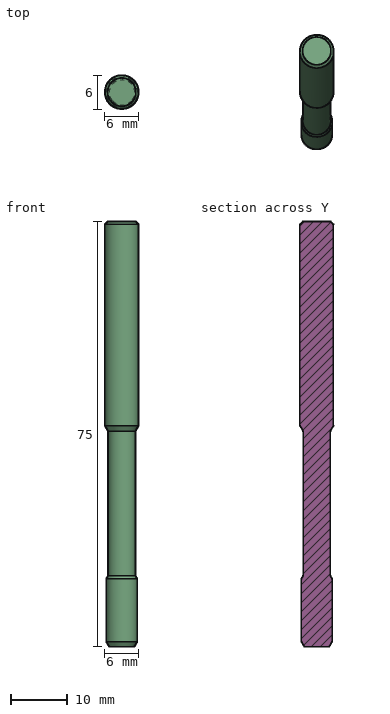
import cadquery as cq
import math

total_length = 75.0
shank_diameter = 6.0
neck_diameter = 4.9
head_diameter = 5.5
tip_diameter = 4.45

head_end = 12.0
shank_start = 39.0

shank_top_chamfer = 0.5
cone_angle = 30.0

shank_radius = shank_diameter / 2
neck_radius = neck_diameter / 2
head_radius = head_diameter / 2
tip_radius = tip_diameter / 2


def cone_length(large_radius, small_radius):
    """Axial length of a cone between two radii."""
    return (large_radius - small_radius) / math.tan(math.radians(cone_angle))


head_start = cone_length(head_radius, tip_radius)
neck_start = head_end + cone_length(head_radius, neck_radius)
neck_end = shank_start - cone_length(shank_radius, neck_radius)


def make_stepped_pin():
    """Revolve the stepped half profile, drawn on the -X side, about the Z axis."""
    profile = (
        cq.Workplane("XZ")
        .moveTo(0, 0)
        .lineTo(-tip_radius, 0)
        .lineTo(-head_radius, head_start)
        .lineTo(-head_radius, head_end)
        .lineTo(-neck_radius, neck_start)
        .lineTo(-neck_radius, neck_end)
        .lineTo(-shank_radius, shank_start)
        .lineTo(-shank_radius, total_length - shank_top_chamfer)
        .lineTo(-(shank_radius - shank_top_chamfer), total_length)
        .lineTo(0, total_length)
        .close()
    )
    return profile.revolve(360, (0, 0, 0), (0, 1, 0))


result = make_stepped_pin()